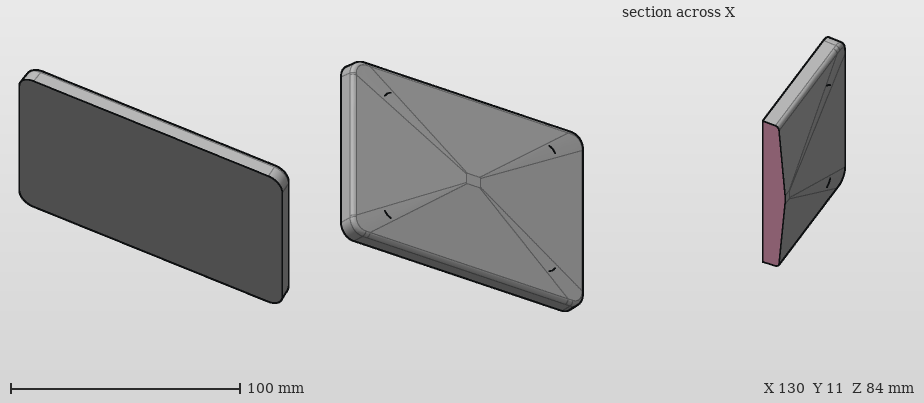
import cadquery as cq
import math

length = 130.0
height = 84.0
corner_radius = 7.0

total_depth = 11.0
rim_depth = 7.9
draft_angle = 2.0
rim_fillet = 2.1

center_length = 7.8

front_y = -total_depth / 2
rim_y = front_y + rim_depth
back_y = total_depth / 2

inset = rim_depth * math.tan(math.radians(draft_angle))
rim_length = length - 2 * inset
rim_height = height - 2 * inset
center_scale = center_length / rim_length


def rounded_rectangle(y, width, tall, radius):
    """Rounded rectangle wire in the XZ plane at depth y."""
    slab = (
        cq.Workplane("XZ", origin=(0, y, 0))
        .rect(width, tall)
        .extrude(total_depth)
        .edges("|Y")
        .fillet(radius)
    )
    return slab.faces(">Y").wires().val()


def make_layer(start, end):
    """Solid with straight sides between two outlines."""
    return cq.Workplane(cq.Solid.makeLoft([start, end], True))


front_outline = rounded_rectangle(front_y, length, height, corner_radius)
rim_outline = rounded_rectangle(rim_y, rim_length, rim_height, corner_radius)
center_outline = rounded_rectangle(
    back_y,
    rim_length * center_scale,
    rim_height * center_scale,
    corner_radius * center_scale,
)

rim = make_layer(front_outline, rim_outline)
raised_back = make_layer(rim_outline, center_outline)
body = rim.union(raised_back)

edge_tolerance = 0.01
rim_edge_box = cq.selectors.BoxSelector(
    (-length, rim_y - edge_tolerance, -height),
    (length, rim_y + edge_tolerance, height),
)
result = body.edges(rim_edge_box).fillet(rim_fillet)